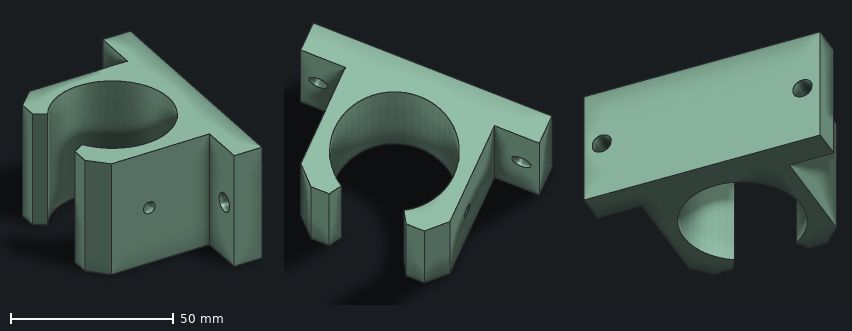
import cadquery as cq
import math

plate_width = 80.0
plate_thickness = 10.0
height = 40.0

body_width = 50.0
body_depth = 41.0
corner_chamfer = 6.0

bore_radius = 20.0
bore_center_y = -bore_radius

mouth_angle = 63.0

plate_hole_diameter = 6.4
plate_hole_spacing = 68.0
side_hole_diameter = 4.2
side_hole_y = -21.5


def make_plate():
    plate = cq.Workplane("XY").box(plate_width, plate_thickness, height, centered=(True, False, True))
    return (
        plate.faces("<Y")
        .workplane(centerOption="CenterOfBoundBox")
        .rarray(plate_hole_spacing, 0.8, 2, 1)
        .hole(plate_hole_diameter)
    )


def make_body():
    block = cq.Workplane("XY").box(body_width, body_depth, height, centered=(True, False, True))
    return block.translate((0, -body_depth, 0)).edges("|Z and <Y").chamfer(corner_chamfer)


def make_bore():
    return cq.Workplane("XY").center(0, bore_center_y).circle(bore_radius).extrude(height / 2, both=True)


def make_mouth():
    reach = body_depth
    half_width = reach * math.tan(math.radians(mouth_angle / 2))
    wedge = [(0, 0), (-half_width, -reach), (half_width, -reach)]
    return cq.Workplane("XY").center(0, bore_center_y).polyline(wedge).close().extrude(height / 2, both=True)


def make_side_hole():
    """Cross hole from the bore out through the +X wall only."""
    return (
        cq.Workplane("YZ")
        .center(side_hole_y, 0)
        .circle(side_hole_diameter / 2)
        .extrude(body_width / 2)
    )


clip_body = make_body().cut(make_bore()).cut(make_mouth()).cut(make_side_hole())
result = make_plate().union(clip_body)